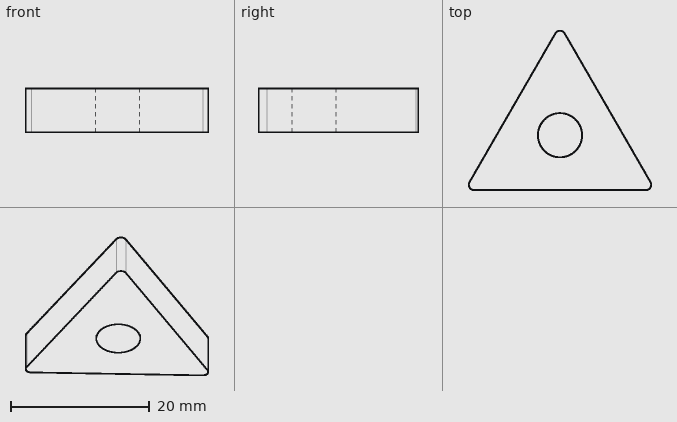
import cadquery as cq
import math

overall_width = 26.33
thickness = 6.35
hole_diameter = 6.35
corner_radius = 0.8

center_spacing = overall_width - 2 * corner_radius
sharp_side = center_spacing + 2 * math.sqrt(3) * corner_radius
sharp_circumradius = sharp_side / math.sqrt(3)
inradius = sharp_circumradius / 2

plate = (
    cq.Workplane("XY")
    .moveTo(-sharp_side / 2, -inradius)
    .lineTo(sharp_side / 2, -inradius)
    .lineTo(0, sharp_circumradius)
    .close()
    .extrude(thickness)
    .edges("|Z")
    .fillet(corner_radius)
)

hole = cq.Workplane("XY").circle(hole_diameter / 2).extrude(thickness)

result = plate.cut(hole)